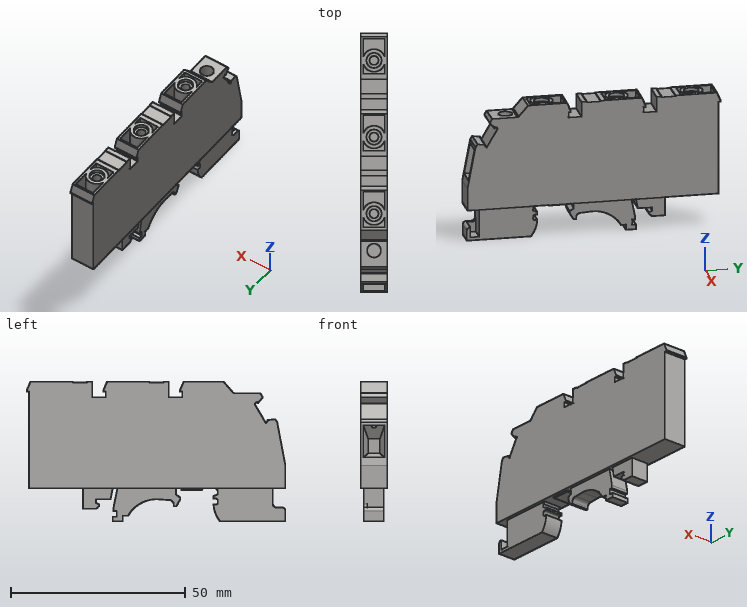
import cadquery as cq


WIDTH = 7.62
LENGTH = 74.35
TOP_Z = 40.1
BASE_Z = 9.45
PITCH = 22.0
STATIONS = 3
HOOK_REACH = 0.7
HOOK_RUN = 1.1
HOOK_TIP_Z = 37.6
HOOK_UNDER_Z = 37.25
REAR_WALL_Y = LENGTH - HOOK_REACH
NOTCH_REAR_Y = 55.45
NOTCH_FLOOR_Z = 35.65
DIP_REAR_Y = 61.05
DIP_FRONT_Y = 57.0
DIP_DEPTH = 0.2

ROOF_FRONT_Y = 17.75
ROOF_SLOPE_FOOT = (15.0, 37.0)
LEDGE_Z = 36.8
LEDGE_REAR_Y = 14.6
LEDGE_FRONT_Y = 7.2
NOSE_TIP = (6.47, 35.65)
NOSE_LOW = (7.95, 33.86)
NOSE_NICK = (8.1, 34.3)
BACK_SLOPE_TOP = (8.85, 33.75)
BACK_SLOPE_LOW = (5.6, 28.25)
SHOULDER_REAR_Y = 5.18
SHOULDER_GROOVE_Z = 28.75
SHOULDER_REAR_Z = 29.1
SHOULDER_CHAMFER_TOP = (2.95, 29.4)
SHOULDER_CHAMFER_LOW = (2.35, 28.5)
FRONT_SLOPE_Z = 16.15

POCKET_WIDTH = 6.06
POCKET_REAR_Y = 72.75
POCKET_FRONT_Y = 62.63
POCKET_DEPTH = 6.0
COLLAR_Y = 66.5
COLLAR_DIAMETER = 6.5
BORE_DIAMETER = 4.35
BORE_DEPTH = 1.0
SCREW_HOLE_DIAMETER = 2.6
SCREW_HOLE_DEPTH = 4.0

LEDGE_HOLE_Y = 11.9
LEDGE_HOLE_DIAMETER = 4.0
LEDGE_HOLE_DEPTH = 6.0

ENTRY_WIDTH = 6.1
ENTRY_LOW_Z = 18.4
ENTRY_HIGH_Z = 27.55
ENTRY_BOX_Y = 5.1
FUNNEL_END_Y = 7.2
FUNNEL_END_WIDTH = 3.4
FUNNEL_END_LOW_Z = 19.5
FUNNEL_END_HIGH_Z = 23.8
RELIEF_DIAMETER = 2.0
RELIEF_Y = 4.5
RELIEF_HEIGHT = 1.2

FEET_LEFT_X = -3.0
FEET_RIGHT_X = 2.85
FEET_TOP_Z = BASE_Z + 0.5
ARCH_Z = 6.3

REAR_FOOT_REAR_Y = 58.15
REAR_FOOT_LOW_Z = 3.6
BARB_TIP_Y = 53.4
BARB_CHAMFER = 0.9
BARB_TIP_HEIGHT = 0.4
BARB_REACH = 1.0
BARB_BACK_RISE = 0.4
REAR_FOOT_FRONT_LOW_Y = 50.2
REAR_FOOT_FRONT_TOP_Y = 49.6

SPRING_REAR_TOP_Y = 48.3
SPRING_REAR_LOW = (49.4, 3.9)
TOE_GROOVE_Y = 48.5
TOE_GROOVE_HIGH_Z = 2.97
TOE_GROOVE_LOW_Z = 1.37
TOE_REAR_Y = 49.65
TOE_FRONT_Y = 46.7
TOE_STEP_Z = 1.6
ARCH_START_Y = 45.2
ARCH_MIDDLE = (42.0, 4.9)
ARCH_CROWN_Y = 36.5
ARCH_FRONT = (33.6, 6.1)
SNAP_ROUND_MIDDLE = (32.5, 5.75)
SNAP_REAR_Y = 32.1
SNAP_ROUND_END_Z = 5.0
SNAP_LOW_Z = 4.3
SNAP_LOW_FRONT_Y = 31.3
SNAP_TIP_Y = 30.2
SNAP_TIP_HIGH_Z = 6.85
SNAP_NECK = (31.4, 7.7)

PAD_REAR_Y = 29.9
PAD_LOW_Z = 8.95
PAD_LOW_FRONT_Y = 24.1
PAD_TOP_FRONT_Y = 23.7

FRONT_FOOT_REAR_Y = 20.0
GROOVE_Y = 19.45
RIB_Y = 20.7
UPPER_GROOVE_HIGH_Z = 8.8
UPPER_GROOVE_LOW_Z = 7.8
RIB_HIGH_Z = 7.25
LOWER_GROOVE_HIGH_Z = 6.5
LOWER_GROOVE_LOW_Z = 4.9
GROOVE_ROUND = 0.5
HEEL_MIDDLE = (20.1, 2.2)
HEEL_LOW_Y = 18.8
FOOT_WALL_Y = 3.6
LIP_Z = 4.03
LIP_ROUND = 1.0
WEB_FILLET = 1.0
WEB_RIGHT_X = -1.9
RECESS_FLOOR_Z = 1.0


def extrude_yz(sketch, left_x, right_x):
    """Extrude a closed outline drawn in the YZ plane between two X positions."""
    return sketch.extrude(right_x - left_x).translate((left_x, 0, 0))


def box(x_range, y_range, z_range):
    """Axis-aligned box between pairs of limits."""
    size = [high - low for low, high in (x_range, y_range, z_range)]
    corner = (x_range[0], y_range[0], z_range[0])
    return cq.Workplane("XY").box(*size, centered=False).translate(corner)


def housing():
    """Main body: rear wall, hooked stations along the top, stepped and sloping front."""
    outline = cq.Workplane("YZ").moveTo(0, BASE_Z).lineTo(REAR_WALL_Y, BASE_Z)
    for station in range(STATIONS):
        shift = -station * PITCH
        wall = REAR_WALL_Y + shift
        tip = LENGTH + shift
        outline = (
            outline.lineTo(wall, HOOK_UNDER_Z)
            .lineTo(tip, HOOK_UNDER_Z)
            .lineTo(tip, HOOK_TIP_Z)
            .lineTo(tip - HOOK_RUN, TOP_Z)
        )
        if station < STATIONS - 1:
            outline = (
                outline.lineTo(DIP_REAR_Y + shift, TOP_Z)
                .lineTo(DIP_REAR_Y + shift, TOP_Z - DIP_DEPTH)
                .lineTo(DIP_FRONT_Y + shift, TOP_Z - DIP_DEPTH)
                .lineTo(DIP_FRONT_Y + shift, TOP_Z)
                .lineTo(NOTCH_REAR_Y + shift, TOP_Z)
                .lineTo(NOTCH_REAR_Y + shift, NOTCH_FLOOR_Z)
                .lineTo(wall - PITCH, NOTCH_FLOOR_Z)
            )
    outline = (
        outline.lineTo(ROOF_FRONT_Y, TOP_Z)
        .lineTo(*ROOF_SLOPE_FOOT)
        .lineTo(LEDGE_REAR_Y, LEDGE_Z)
        .lineTo(LEDGE_FRONT_Y, LEDGE_Z)
        .lineTo(*NOSE_TIP)
        .lineTo(*NOSE_LOW)
        .lineTo(*NOSE_NICK)
        .lineTo(*BACK_SLOPE_TOP)
        .lineTo(*BACK_SLOPE_LOW)
        .lineTo(SHOULDER_REAR_Y, SHOULDER_GROOVE_Z)
        .lineTo(SHOULDER_REAR_Y, SHOULDER_REAR_Z)
        .lineTo(*SHOULDER_CHAMFER_TOP)
        .lineTo(*SHOULDER_CHAMFER_LOW)
        .lineTo(0, FRONT_SLOPE_Z)
        .close()
    )
    return extrude_yz(outline, -WIDTH / 2, WIDTH / 2)


def screw_station(body, shift):
    """Open pocket with a flush screw collar, counterbored for the screw."""
    half = POCKET_WIDTH / 2
    pocket = box(
        (-half, half),
        (POCKET_FRONT_Y + shift, POCKET_REAR_Y + shift),
        (TOP_Z - POCKET_DEPTH, TOP_Z),
    )
    top = cq.Workplane("XY", origin=(0, COLLAR_Y + shift, TOP_Z))
    collar = top.circle(COLLAR_DIAMETER / 2).extrude(-POCKET_DEPTH)
    bore = top.circle(BORE_DIAMETER / 2).extrude(-BORE_DEPTH)
    screw_hole = top.circle(SCREW_HOLE_DIAMETER / 2).extrude(-SCREW_HOLE_DEPTH)
    return body.cut(pocket.cut(collar)).cut(bore).cut(screw_hole)


def ledge_hole():
    """Blind round hole in the ledge."""
    ledge = cq.Workplane("XY", origin=(0, LEDGE_HOLE_Y, LEDGE_Z))
    return ledge.circle(LEDGE_HOLE_DIAMETER / 2).extrude(-LEDGE_HOLE_DEPTH)


def wire_entry():
    """Straight rectangular mouth followed by a funnel that narrows towards the back."""
    half = ENTRY_WIDTH / 2
    mouth = box((-half, half), (0, ENTRY_BOX_Y), (ENTRY_LOW_Z, ENTRY_HIGH_Z))
    mouth_mid_z = (ENTRY_LOW_Z + ENTRY_HIGH_Z) / 2
    end_mid_z = (FUNNEL_END_LOW_Z + FUNNEL_END_HIGH_Z) / 2
    depth = FUNNEL_END_Y - ENTRY_BOX_Y
    funnel = (
        cq.Workplane("XZ", origin=(0, ENTRY_BOX_Y, mouth_mid_z))
        .rect(ENTRY_WIDTH, ENTRY_HIGH_Z - ENTRY_LOW_Z)
        .workplane(offset=-depth)
        .center(0, end_mid_z - mouth_mid_z)
        .rect(FUNNEL_END_WIDTH, FUNNEL_END_HIGH_Z - FUNNEL_END_LOW_Z)
        .loft(ruled=True)
    )
    relief = (
        cq.Workplane("XY", origin=(0, RELIEF_Y, ENTRY_HIGH_Z))
        .circle(RELIEF_DIAMETER / 2)
        .extrude(-RELIEF_HEIGHT)
    )
    return mouth.union(funnel).union(relief)


def rear_foot():
    """Short rear foot with a small barb that hooks under the rail."""
    barb_low_z = REAR_FOOT_LOW_Z + BARB_CHAMFER
    barb_high_z = barb_low_z + BARB_TIP_HEIGHT
    barb_root_y = BARB_TIP_Y + BARB_REACH
    outline = (
        cq.Workplane("YZ")
        .moveTo(REAR_FOOT_REAR_Y, FEET_TOP_Z)
        .lineTo(REAR_FOOT_REAR_Y, REAR_FOOT_LOW_Z)
        .lineTo(BARB_TIP_Y + BARB_CHAMFER, REAR_FOOT_LOW_Z)
        .lineTo(BARB_TIP_Y, barb_low_z)
        .lineTo(BARB_TIP_Y, barb_high_z)
        .lineTo(barb_root_y, barb_high_z + BARB_BACK_RISE)
        .lineTo(barb_root_y, ARCH_Z)
        .lineTo(REAR_FOOT_FRONT_LOW_Y, ARCH_Z)
        .lineTo(REAR_FOOT_FRONT_TOP_Y, BASE_Z)
        .lineTo(REAR_FOOT_FRONT_TOP_Y, FEET_TOP_Z)
        .close()
    )
    return extrude_yz(outline, FEET_LEFT_X, FEET_RIGHT_X)


def middle_foot():
    """Arched spring foot with a stepped toe at the rear and a snap nose at the front."""
    outline = (
        cq.Workplane("YZ")
        .moveTo(SPRING_REAR_TOP_Y, FEET_TOP_Z)
        .lineTo(SPRING_REAR_TOP_Y, BASE_Z)
        .lineTo(*SPRING_REAR_LOW)
        .lineTo(SPRING_REAR_LOW[0], TOE_GROOVE_HIGH_Z)
        .lineTo(TOE_GROOVE_Y, TOE_GROOVE_HIGH_Z)
        .lineTo(TOE_GROOVE_Y, TOE_GROOVE_LOW_Z)
        .lineTo(TOE_REAR_Y, TOE_GROOVE_LOW_Z)
        .lineTo(TOE_REAR_Y, 0)
        .lineTo(TOE_FRONT_Y, 0)
        .lineTo(TOE_FRONT_Y, TOE_STEP_Z)
        .lineTo(ARCH_START_Y, TOE_STEP_Z)
        .threePointArc(ARCH_MIDDLE, (ARCH_CROWN_Y, ARCH_Z))
        .lineTo(*ARCH_FRONT)
        .threePointArc(SNAP_ROUND_MIDDLE, (SNAP_REAR_Y, SNAP_ROUND_END_Z))
        .lineTo(SNAP_REAR_Y, SNAP_LOW_Z)
        .lineTo(SNAP_LOW_FRONT_Y, SNAP_LOW_Z)
        .lineTo(SNAP_TIP_Y, ARCH_Z)
        .lineTo(SNAP_TIP_Y, SNAP_TIP_HIGH_Z)
        .lineTo(*SNAP_NECK)
        .lineTo(SNAP_NECK[0], FEET_TOP_Z)
        .close()
    )
    return extrude_yz(outline, FEET_LEFT_X, FEET_RIGHT_X)


def rail_pad():
    """Thin pad under the housing between the middle and front feet."""
    outline = (
        cq.Workplane("YZ")
        .moveTo(PAD_REAR_Y, FEET_TOP_Z)
        .lineTo(PAD_REAR_Y, PAD_LOW_Z)
        .lineTo(PAD_LOW_FRONT_Y, PAD_LOW_Z)
        .lineTo(PAD_TOP_FRONT_Y, BASE_Z)
        .lineTo(PAD_TOP_FRONT_Y, FEET_TOP_Z)
        .close()
    )
    return extrude_yz(outline, FEET_LEFT_X, FEET_RIGHT_X)


def front_foot():
    """Front foot with two rail grooves at its rear and a rounded lip at its front."""
    outline = (
        cq.Workplane("YZ")
        .moveTo(FRONT_FOOT_REAR_Y, FEET_TOP_Z)
        .lineTo(FRONT_FOOT_REAR_Y, BASE_Z)
        .lineTo(GROOVE_Y, UPPER_GROOVE_HIGH_Z)
        .lineTo(GROOVE_Y, UPPER_GROOVE_LOW_Z)
        .lineTo(RIB_Y, RIB_HIGH_Z)
        .lineTo(RIB_Y, LOWER_GROOVE_HIGH_Z)
        .lineTo(GROOVE_Y + GROOVE_ROUND, LOWER_GROOVE_HIGH_Z)
        .radiusArc((GROOVE_Y, LOWER_GROOVE_HIGH_Z - GROOVE_ROUND), -GROOVE_ROUND)
        .lineTo(GROOVE_Y, LOWER_GROOVE_LOW_Z + GROOVE_ROUND)
        .radiusArc((GROOVE_Y + GROOVE_ROUND, LOWER_GROOVE_LOW_Z), -GROOVE_ROUND)
        .lineTo(RIB_Y, LOWER_GROOVE_LOW_Z)
        .threePointArc(HEEL_MIDDLE, (HEEL_LOW_Y, 0))
        .lineTo(0, 0)
        .lineTo(0, LIP_Z - LIP_ROUND)
        .radiusArc((LIP_ROUND, LIP_Z), LIP_ROUND)
        .lineTo(FOOT_WALL_Y - WEB_FILLET, LIP_Z)
        .radiusArc((FOOT_WALL_Y, LIP_Z + WEB_FILLET), -WEB_FILLET)
        .lineTo(FOOT_WALL_Y, FEET_TOP_Z)
        .close()
    )
    foot = extrude_yz(outline, FEET_LEFT_X, FEET_RIGHT_X)
    recess = box(
        (WEB_RIGHT_X, FEET_RIGHT_X),
        (LIP_ROUND, FOOT_WALL_Y),
        (RECESS_FLOOR_Z, LIP_Z + WEB_FILLET),
    )
    return foot.cut(recess)


body = housing()
for station_index in range(STATIONS):
    body = screw_station(body, -station_index * PITCH)
body = body.cut(ledge_hole()).cut(wire_entry())
for foot in (rear_foot(), middle_foot(), rail_pad(), front_foot()):
    body = body.union(foot)

result = body